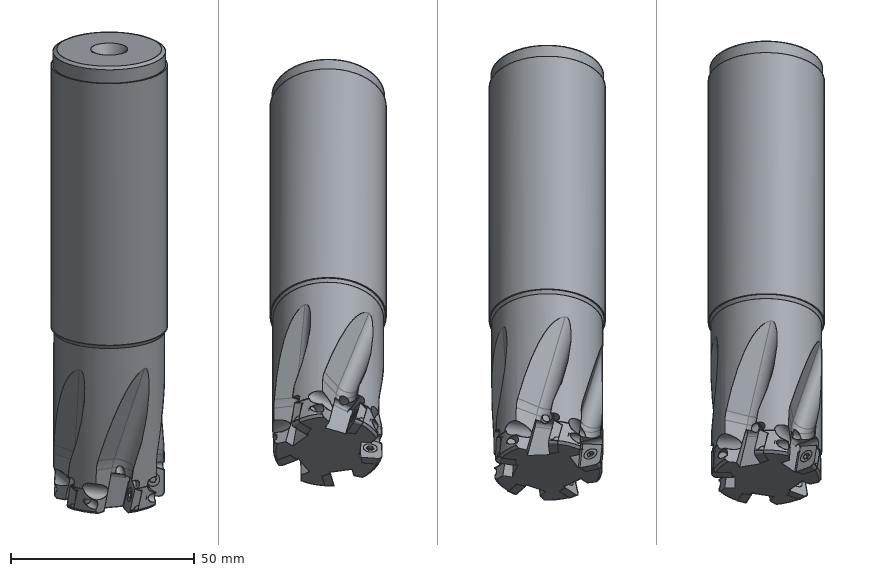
import cadquery as cq
import math

TOOTH_COUNT = 5
TOOTH_ANGLE = 360 / TOOTH_COUNT
TOTAL_LENGTH = 129.4

SHANK_RADIUS = 31.75 / 2
NECK_RADIUS = 15.15
CAP_RADIUS = 15.4
CAP_HEIGHT = 4.5
CAP_CHAMFER_WIDTH = 1.1
CAP_CHAMFER_HEIGHT = 0.65
SHANK_BOTTOM_Z = 49.3
SHOULDER_STEP = 0.3
SHOULDER_HEIGHT = 1.1
BODY_BOTTOM_Z = 0.15
TOOTH_RING_RADIUS = 14.95
TOOTH_RING_TOP_Z = 7.0
BOTTOM_CHAMFER = 0.7

CONE_RADIUS = 5.05
BORE_RADIUS = 3.05
BORE_BOTTOM_Z = 17.0
CONE_ANGLE = 60
CONE_DEPTH = (CONE_RADIUS - BORE_RADIUS) / math.tan(math.radians(CONE_ANGLE / 2))

FLUTE_WALL_RADIUS = 3.3
FLUTE_WALL_ANGLE = 150
FLUTE_FLOOR_WIDTH = 14.0
FLUTE_OUTER_DEPTH = 16.0
FLOOR_LINE_TOP = cq.Vector(0.95, -15.06, 41.0)
FLOOR_LINE_BEND = cq.Vector(-5.2, -8.9, 13.4)
LOWER_FLUTE_LEAN = 0.14
FLUTE_BOTTOM_Z = -4.0
FLUTE_TOP_OVERRUN = 0.35
BEND_LENGTH = 2.6
FLOOR_DIRECTION = cq.Vector(1, 0.17, 0)

INSERT_NORMAL = cq.Vector(-0.92, 0.32, 0.22).normalized()
INSERT_CENTRE = cq.Vector(-1.67, -11.9, 4.5)
INSERT_THICKNESS = 2.4
INSERT_CLEARANCE_ANGLE = 15
INSERT_INNER_U = -2.7
INSERT_OUTER_U = 3.2
INSERT_BOTTOM_V = -INSERT_CENTRE.z / math.hypot(INSERT_NORMAL.x, INSERT_NORMAL.y)
INSERT_OUTER_TOP_V = 2.7
INSERT_INNER_TOP_V = 4.6
INSERT_CORNER_RADIUS = 1.4

POCKET_DEPTH = 6.0
POCKET_INNER_U = INSERT_INNER_U - 0.5
POCKET_OUTER_U = 6.0
POCKET_TOP_V = INSERT_INNER_TOP_V + 0.3
POCKET_BOTTOM_V = -7.0
POCKET_CORNER_RADIUS = 1.2
RELIEF_RADIUS = 1.2
RELIEF_V = INSERT_OUTER_TOP_V + 1.2

SCREW_SHANK_RADIUS = 1.3
SCREW_HEAD_RADIUS = 1.9
SCREW_HEAD_HEIGHT = 1.3
SCREW_LENGTH = 4.5
SOCKET_RADIUS = 1.0
SOCKET_DEPTH = 1.0
SCREW_HOLE_END = 12.0
DRIVER_PATH_RADIUS = 2.2
DRIVER_PATH_U = 1.1
DRIVER_PATH_V = -0.2
DRIVER_PATH_LENGTH = 16.0

COOLANT_RADIUS = 1.2
COOLANT_START = cq.Vector(0, 0, BORE_BOTTOM_Z + 1)
COOLANT_EXIT = cq.Vector(-3.6, -11.0, 9.6)

INSERT_OUTWARD = cq.Vector(0, 0, 1).cross(INSERT_NORMAL)
insert_plane = cq.Plane(origin=INSERT_CENTRE, xDir=INSERT_OUTWARD, normal=INSERT_NORMAL)


def rod(start, end, radius):
    """A cylinder between two points."""
    axis = end - start
    return cq.Workplane(cq.Solid.makeCylinder(radius, axis.Length, start, axis))


def each_tooth(shape):
    """The copies of a first-tooth shape at all the teeth."""
    axis_start = (0, 0, 0)
    axis_end = (0, 0, 1)
    return [shape.rotate(axis_start, axis_end, i * TOOTH_ANGLE) for i in range(TOOTH_COUNT)]


def turned_body():
    """The shank, neck and tooth ring as one revolved outline, including the centre bore."""
    cap_bottom = TOTAL_LENGTH - CAP_HEIGHT
    outline = (
        cq.Workplane("XZ")
        .moveTo(0, BODY_BOTTOM_Z)
        .lineTo(TOOTH_RING_RADIUS - BOTTOM_CHAMFER, BODY_BOTTOM_Z)
        .lineTo(TOOTH_RING_RADIUS, BODY_BOTTOM_Z + BOTTOM_CHAMFER)
        .lineTo(TOOTH_RING_RADIUS, TOOTH_RING_TOP_Z)
        .lineTo(NECK_RADIUS, TOOTH_RING_TOP_Z)
        .lineTo(NECK_RADIUS, SHANK_BOTTOM_Z - SHOULDER_HEIGHT)
        .lineTo(SHANK_RADIUS - SHOULDER_STEP, SHANK_BOTTOM_Z)
        .lineTo(SHANK_RADIUS, SHANK_BOTTOM_Z)
        .lineTo(SHANK_RADIUS, cap_bottom)
        .lineTo(CAP_RADIUS, cap_bottom)
        .lineTo(CAP_RADIUS, TOTAL_LENGTH - CAP_CHAMFER_HEIGHT)
        .lineTo(CAP_RADIUS - CAP_CHAMFER_WIDTH, TOTAL_LENGTH)
        .lineTo(CONE_RADIUS, TOTAL_LENGTH)
        .lineTo(BORE_RADIUS, TOTAL_LENGTH - CONE_DEPTH)
        .lineTo(BORE_RADIUS, BORE_BOTTOM_Z)
        .lineTo(0, BORE_BOTTOM_Z)
        .close()
    )
    return outline.revolve(360, (0, 0, 0), (0, 1, 0))


def flute_cutter():
    """The flute section swept up the lower line, round the bend and out along the upper line."""
    lower_direction = cq.Vector(LOWER_FLUTE_LEAN, 0, 1)
    upper_direction = FLOOR_LINE_TOP - FLOOR_LINE_BEND
    start = FLOOR_LINE_BEND + lower_direction * (FLUTE_BOTTOM_Z - FLOOR_LINE_BEND.z)
    end = FLOOR_LINE_BEND + upper_direction * (1 + FLUTE_TOP_OVERRUN)
    bend_start = FLOOR_LINE_BEND - lower_direction.normalized() * (BEND_LENGTH / 2)
    bend_end = FLOOR_LINE_BEND + upper_direction.normalized() * (BEND_LENGTH / 2)
    path = cq.Wire.assembleEdges([
        cq.Edge.makeLine(start, bend_start),
        cq.Edge.makeTangentArc(bend_start, lower_direction, bend_end),
        cq.Edge.makeLine(bend_end, end),
    ])

    section_plane = cq.Plane(origin=start, xDir=FLOOR_DIRECTION, normal=lower_direction)

    def wall_point(degrees):
        angle = math.radians(degrees)
        return (FLUTE_WALL_RADIUS * math.sin(angle), -FLUTE_WALL_RADIUS * (1 - math.cos(angle)))

    wall_end = wall_point(FLUTE_WALL_ANGLE)
    section = (
        cq.Workplane(section_plane)
        .moveTo(-FLUTE_FLOOR_WIDTH, 0)
        .lineTo(0, 0)
        .threePointArc(wall_point(FLUTE_WALL_ANGLE / 2), wall_end)
        .lineTo(wall_end[0], -FLUTE_OUTER_DEPTH)
        .lineTo(-FLUTE_FLOOR_WIDTH, -FLUTE_OUTER_DEPTH)
        .close()
    )
    return section.sweep(cq.Workplane(path))


def insert_outline(section, inset):
    """Draws the insert outline on a section, with every side moved in by the inset."""
    radius = INSERT_CORNER_RADIUS - inset
    inner_u = INSERT_INNER_U + inset
    outer_u = INSERT_OUTER_U - inset
    bottom_v = INSERT_BOTTOM_V + inset
    corner_u = outer_u - radius
    corner_v = bottom_v + radius
    corner_offset = radius * math.cos(math.radians(45))
    return (
        section.moveTo(inner_u, bottom_v)
        .lineTo(corner_u, bottom_v)
        .threePointArc((corner_u + corner_offset, corner_v - corner_offset), (outer_u, corner_v))
        .lineTo(outer_u, INSERT_OUTER_TOP_V - inset)
        .lineTo(inner_u, INSERT_INNER_TOP_V - inset)
        .close()
    )


def insert_blank():
    """The insert without its screw hole, smaller at its back to clear the cut."""
    back_inset = INSERT_THICKNESS * math.tan(math.radians(INSERT_CLEARANCE_ANGLE))
    front = insert_outline(cq.Workplane(insert_plane), 0)
    back_section = front.workplane(offset=-INSERT_THICKNESS, origin=INSERT_CENTRE.toTuple())
    return insert_outline(back_section, back_inset).loft(ruled=True)


def chip_pocket():
    """The round-cornered space in front of the cutting face, with the groove above the insert."""
    width = POCKET_OUTER_U - POCKET_INNER_U
    height = POCKET_TOP_V - POCKET_BOTTOM_V
    centre_u = (POCKET_OUTER_U + POCKET_INNER_U) / 2
    centre_v = (POCKET_TOP_V + POCKET_BOTTOM_V) / 2
    space = (
        cq.Workplane(insert_plane)
        .center(centre_u, centre_v)
        .rect(width, height)
        .extrude(POCKET_DEPTH)
        .edges(cq.selectors.ParallelDirSelector(INSERT_NORMAL))
        .fillet(POCKET_CORNER_RADIUS)
    )
    groove = rod(
        insert_plane.toWorldCoords((POCKET_INNER_U, RELIEF_V, 0)),
        insert_plane.toWorldCoords((POCKET_OUTER_U, RELIEF_V, 0)),
        RELIEF_RADIUS,
    )
    return space.union(groove)


def plain_screw():
    """The countersunk clamping screw without its socket, its head flush with the cutting face."""
    profile_plane = cq.Plane(origin=INSERT_CENTRE, xDir=insert_plane.xDir, normal=-insert_plane.yDir)
    return (
        cq.Workplane(profile_plane)
        .lineTo(SCREW_HEAD_RADIUS, 0)
        .lineTo(SCREW_SHANK_RADIUS, -SCREW_HEAD_HEIGHT)
        .lineTo(SCREW_SHANK_RADIUS, -SCREW_LENGTH)
        .lineTo(0, -SCREW_LENGTH)
        .close()
        .revolve(360, (0, 0, 0), (0, 1, 0))
    )


def screw():
    """The clamping screw with its hexagonal socket."""
    socket = cq.Workplane(insert_plane).polygon(6, 2 * SOCKET_RADIUS).extrude(-SOCKET_DEPTH)
    return plain_screw().cut(socket)


def tooth_cutters():
    """Everything cut from the body at the first tooth."""
    screw_end = INSERT_CENTRE - INSERT_NORMAL * SCREW_LENGTH
    screw_hole_end = INSERT_CENTRE - INSERT_NORMAL * SCREW_HOLE_END
    driver_start = insert_plane.toWorldCoords((DRIVER_PATH_U, DRIVER_PATH_V, 0))
    driver_end = insert_plane.toWorldCoords((DRIVER_PATH_U, DRIVER_PATH_V, DRIVER_PATH_LENGTH))
    return [
        flute_cutter(),
        chip_pocket(),
        insert_blank(),
        rod(screw_end, screw_hole_end, SCREW_SHANK_RADIUS),
        rod(driver_start, driver_end, DRIVER_PATH_RADIUS),
        rod(COOLANT_START, COOLANT_EXIT, COOLANT_RADIUS),
    ]


body = turned_body()
for cutter in tooth_cutters():
    for copy in each_tooth(cutter):
        body = body.cut(copy)
for copy in each_tooth(screw()):
    body = body.union(copy)

inserts = each_tooth(insert_blank().cut(plain_screw()))

result = cq.Compound.makeCompound([body.solids().val(), *[insert.solids().val() for insert in inserts]])